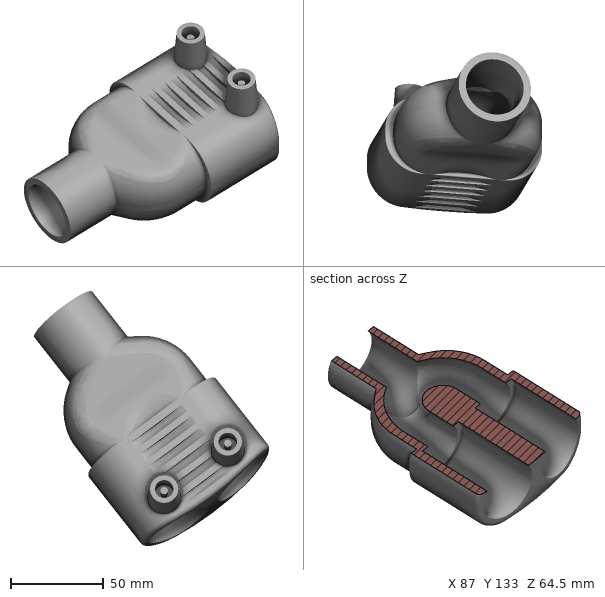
import cadquery as cq
import math

length = 133.0
half_height = 22.5
corner_radius = 20.2
branch_offset = 21.7

head_half_width = 43.5
shoulder_y = 78.8
end_face_radius = 174.2
end_fillet = 2.4
shoulder_fillet = 0.4

body_half_width = 39.1
dome_start_y = 62.4
dome_radius = 32.7
dome_turn = math.radians(56.5)
nose_radius = 21.3
body_overlap = 3.3

waist_y = 59.5
waist_z = 17.7
waist_outlet_y = 36.4
waist_root_radius = 20.0
waist_edge_fillet = 9.0

dish_half_width = 17.3
dish_depth = 2.5
slot_width = 4.5
slot_pitch = 8.1
slot_count = 6
first_slot_y = 85.4

outlet_radius = 40.0 / 2
outlet_bore_radius = 32.0 / 2
socket_radius = 35.2 / 2
socket_stop_y = 82.4
passage_radius = 14.2
bend_center_y = 65.1
outlet_taper_setback = 1.2

post_y = 118.2
post_top_z = 42.0
post_top_radius = 15.3 / 2
post_base_radius = 9.5
post_base_z = 19.3
terminal_bore_radius = 10.0 / 2
terminal_bore_depth = 12.0
pin_radius = 4.0 / 2
pin_top_depth = 3.3


def cylinder_y(radius, y_start, y_end, x=0.0, z=0.0):
    """Cylinder along Y between two Y positions."""
    axis_start = cq.Vector(x, y_start, z)
    return cq.Workplane(cq.Solid.makeCylinder(radius, y_end - y_start, axis_start, cq.Vector(0, 1, 0)))


def both_faces(shape):
    """Shape together with its mirror image below the XY plane."""
    return shape.union(shape.mirror("XY"))


def make_dish(y_start, y_end):
    """Cutter that leaves a dished floor, deepest on the centre plane."""
    radius = (dish_half_width**2 + dish_depth**2) / (2 * dish_depth)
    return cylinder_y(radius, y_start, y_end, z=half_height - dish_depth + radius)


def make_head():
    blank = (
        cq.Workplane("XZ", origin=(0, shoulder_y, 0))
        .rect(2 * head_half_width, 2 * half_height)
        .extrude(shoulder_y - length)
        .edges("|Y")
        .fillet(corner_radius)
    )
    end_face = (
        cq.Workplane("XY", origin=(0, length - end_face_radius, -half_height))
        .circle(end_face_radius)
        .extrude(2 * half_height)
    )
    head = blank.intersect(end_face)
    head = head.faces("<Y").edges().fillet(shoulder_fillet)
    head = head.faces(">Y").edges().fillet(end_fillet)
    for index in range(slot_count):
        y_start = first_slot_y + index * slot_pitch - slot_width / 2
        head = head.cut(both_faces(make_dish(y_start, y_start + slot_width)))
    return head


def make_body_blank():
    """Domed plan shape with fully rounded sides."""
    center_x = body_half_width - dome_radius

    def dome_point(angle):
        return (center_x + dome_radius * math.cos(angle), dome_start_y - dome_radius * math.sin(angle))

    dome_mid = dome_point(dome_turn / 2)
    dome_end = dome_point(dome_turn)
    nose_x = nose_radius * math.cos(dome_turn)
    nose_y = dome_end[1] - (dome_end[0] - nose_x) / math.tan(dome_turn)
    nose_tip_y = nose_y + nose_radius * math.sin(dome_turn) - nose_radius
    back_y = shoulder_y + body_overlap
    return (
        cq.Workplane("XY", origin=(0, 0, -half_height))
        .moveTo(body_half_width, back_y)
        .lineTo(body_half_width, dome_start_y)
        .threePointArc(dome_mid, dome_end)
        .lineTo(nose_x, nose_y)
        .threePointArc((0, nose_tip_y), (-nose_x, nose_y))
        .lineTo(-dome_end[0], dome_end[1])
        .threePointArc((-dome_mid[0], dome_mid[1]), (-body_half_width, dome_start_y))
        .lineTo(-body_half_width, back_y)
        .close()
        .extrude(2 * half_height)
        .faces("<Z or >Z").edges("not(>Y)")
        .fillet(corner_radius)
    )


def make_waist_cutter():
    front_slope = (half_height - waist_z) / (shoulder_y - waist_y)
    back_slope = (outlet_radius - waist_z) / (waist_y - waist_outlet_y)
    back_y = shoulder_y + body_overlap
    top_z = 2 * half_height
    cutter = (
        cq.Workplane("YZ", origin=(-head_half_width, 0, 0))
        .moveTo(0, waist_z + back_slope * waist_y)
        .lineTo(waist_y, waist_z)
        .lineTo(back_y, waist_z + front_slope * (back_y - waist_y))
        .lineTo(back_y, top_z)
        .lineTo(0, top_z)
        .close()
        .extrude(2 * head_half_width)
    )
    root_edge = cq.selectors.NearestToPointSelector((0, waist_y, waist_z))
    return cutter.edges(root_edge).fillet(waist_root_radius)


def make_body():
    dish = make_dish(waist_y, shoulder_y + body_overlap)
    body = make_body_blank().cut(both_faces(dish)).cut(both_faces(make_waist_cutter()))
    upper_rim = cq.selectors.BoxSelector(
        (-body_half_width, waist_outlet_y, waist_z),
        (body_half_width, shoulder_y, half_height),
    )
    lower_rim = cq.selectors.BoxSelector(
        (-body_half_width, waist_outlet_y, -half_height),
        (body_half_width, shoulder_y, -waist_z),
    )
    return body.edges(upper_rim + lower_rim).edges("not %LINE").fillet(waist_edge_fillet)


def make_post(x):
    height = post_top_z - post_base_z
    post = cq.Solid.makeCone(post_base_radius, post_top_radius, height, cq.Vector(x, post_y, post_base_z))
    floor = cq.Workplane("XY", origin=(x, post_y, post_top_z - terminal_bore_depth))
    bore = floor.circle(terminal_bore_radius).extrude(terminal_bore_depth)
    pin = floor.circle(pin_radius).extrude(terminal_bore_depth - pin_top_depth)
    return cq.Workplane(post).cut(bore).union(pin)


def make_passages():
    """U-bend joining the two branches, opened to the outlet at its crest."""
    bend = (
        cq.Workplane("XZ", origin=(0, bend_center_y, 0))
        .center(-branch_offset, 0)
        .circle(passage_radius)
        .revolve(180, (branch_offset, 0), (branch_offset, 1))
    )
    taper_y = bend_center_y - branch_offset - outlet_taper_setback
    taper_end_radius = outlet_bore_radius / 2
    taper = cq.Solid.makeCone(
        outlet_bore_radius,
        taper_end_radius,
        outlet_bore_radius - taper_end_radius,
        cq.Vector(0, taper_y, 0),
        cq.Vector(0, 1, 0),
    )
    outlet_bore = cylinder_y(outlet_bore_radius, 0, taper_y).union(cq.Workplane(taper))
    passages = bend.union(outlet_bore)
    for x in (-branch_offset, branch_offset):
        passages = passages.union(cylinder_y(passage_radius, bend_center_y, length, x))
        passages = passages.union(cylinder_y(socket_radius, socket_stop_y, length, x))
    return passages


outlet = cylinder_y(outlet_radius, 0, waist_outlet_y)
result = make_head().union(make_body()).union(outlet)
result = result.cut(make_passages())
for post_x in (-branch_offset, branch_offset):
    result = result.union(make_post(post_x))